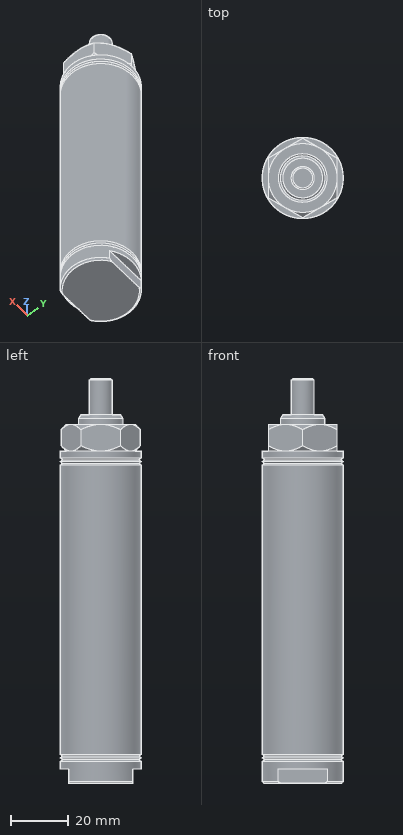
import cadquery as cq
import math

total_height = 141.2
collar_top = 128.7
nut_top = 125.3
shoulder_top = 116.0
upper_ridge_height = 112.3
lower_ridge_height = 8.9
flat_height = 5.0

housing_radius = 14.19
base_chamfer = 0.7
groove_depth = 0.8
groove_width = 1.3
flat_spacing = 22.5
collar_radius = 7.8
collar_chamfer_width = 0.8
collar_chamfer_height = 1.3

nut_across_flats = 24.0
nut_face_radius = nut_across_flats / 2
nut_chamfer_angle = 45.0
bore_chamfer = 0.7

rod_radius = 4.02
rod_chamfer = 0.5


def revolve_profile(points):
    """Turn an outline of (radius, height) points about the Z axis."""
    return cq.Workplane("XZ").polyline(points).close().revolve(360, (0, 0, 0), (0, 1, 0))


def v_groove(center_height):
    """Ring of triangular section that cuts one V groove in the housing."""
    return revolve_profile([
        (housing_radius, center_height - groove_width / 2),
        (housing_radius - groove_depth, center_height),
        (housing_radius, center_height + groove_width / 2),
    ])


def make_housing():
    """Grooved barrel with two wrench flats at its base and a collar on top."""
    barrel = cq.Workplane("XY").circle(housing_radius).extrude(shoulder_top)
    barrel = barrel.faces("<Z").chamfer(base_chamfer)
    for ridge_height in (lower_ridge_height, upper_ridge_height):
        for side in (-1, 1):
            barrel = barrel.cut(v_groove(ridge_height + side * groove_width / 2))

    wrench_section = cq.Workplane("XY").box(
        2 * housing_radius, flat_spacing, flat_height, centered=(True, True, False))
    upper_section = (cq.Workplane("XY").workplane(offset=flat_height)
                     .circle(housing_radius).extrude(shoulder_top - flat_height))
    barrel = barrel.intersect(wrench_section.union(upper_section))

    collar = revolve_profile([
        (0, shoulder_top),
        (collar_radius, shoulder_top),
        (collar_radius, collar_top - collar_chamfer_height),
        (collar_radius - collar_chamfer_width, collar_top),
        (0, collar_top),
    ])
    return barrel.union(collar)


def make_nut():
    """Hexagon nut with conical corner chamfers, fitted around the collar."""
    corner_radius = nut_across_flats / math.sqrt(3)
    chamfer_height = (corner_radius - nut_face_radius) * math.tan(math.radians(nut_chamfer_angle))
    hexagon = (cq.Workplane("XY").workplane(offset=shoulder_top)
               .polygon(6, 2 * corner_radius).extrude(nut_top - shoulder_top)
               .rotate((0, 0, 0), (0, 0, 1), 30))
    turned_blank = revolve_profile([
        (collar_radius, shoulder_top),
        (nut_face_radius, shoulder_top),
        (corner_radius, shoulder_top + chamfer_height),
        (corner_radius, nut_top - chamfer_height),
        (nut_face_radius, nut_top),
        (collar_radius + bore_chamfer, nut_top),
        (collar_radius, nut_top - bore_chamfer),
    ])
    return hexagon.intersect(turned_blank)


def make_rod():
    """Round rod standing on the collar, with a chamfered tip."""
    rod = (cq.Workplane("XY").workplane(offset=collar_top)
           .circle(rod_radius).extrude(total_height - collar_top))
    return rod.faces(">Z").chamfer(rod_chamfer)


housing = make_housing()
nut = make_nut()
rod = make_rod()

result = cq.Compound.makeCompound([housing.val(), nut.val(), rod.val()])